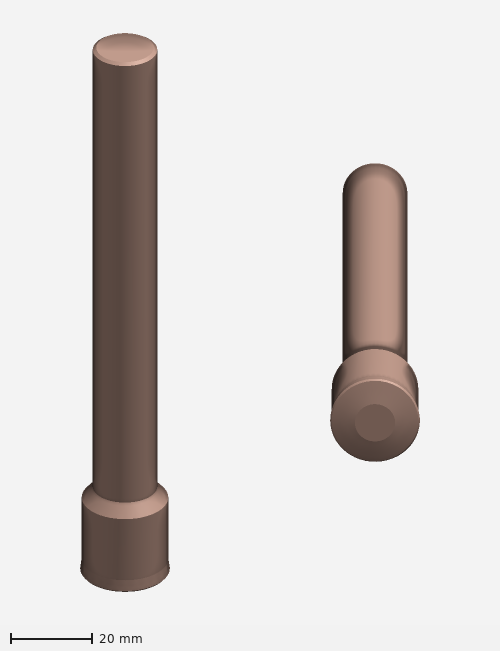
import cadquery as cq

overall_length = 150.0
shaft_radius = 8.0
collar_radius = 10.6
rim_radius = 11.02

joint_height = 4.5
collar_top_height = 21.9
shaft_bottom_height = 25.0

end_chamfer_width = 0.9
end_chamfer_height = 0.6

tip_flat_radius = 5.0
tip_cone_height = 1.2
rim_chamfer_width = 0.38
rim_chamfer_height = 0.5
rim_height = tip_cone_height + rim_chamfer_height


def revolve_about_z(profile):
    """Turn a closed half profile, drawn in the XZ plane, into a round solid."""
    return profile.revolve(360, (0, 0, 0), (0, 1, 0))


def make_holder():
    """Long plain shaft that widens through a cone into a short collar."""
    profile = (
        cq.Workplane("XZ")
        .moveTo(0, joint_height)
        .lineTo(collar_radius, joint_height)
        .lineTo(collar_radius, collar_top_height)
        .lineTo(shaft_radius, shaft_bottom_height)
        .lineTo(shaft_radius, overall_length - end_chamfer_height)
        .lineTo(shaft_radius - end_chamfer_width, overall_length)
        .lineTo(0, overall_length)
        .close()
    )
    return revolve_about_z(profile)


def make_tip():
    """Disc under the collar that flares out to a rim and ends in a blunt cone."""
    profile = (
        cq.Workplane("XZ")
        .moveTo(0, joint_height)
        .lineTo(0, 0)
        .lineTo(tip_flat_radius, 0)
        .lineTo(rim_radius - rim_chamfer_width, tip_cone_height)
        .lineTo(rim_radius, rim_height)
        .lineTo(collar_radius, joint_height)
        .close()
    )
    return revolve_about_z(profile)


holder = make_holder()
tip = make_tip()

result = cq.Compound.makeCompound([holder.val(), tip.val()])